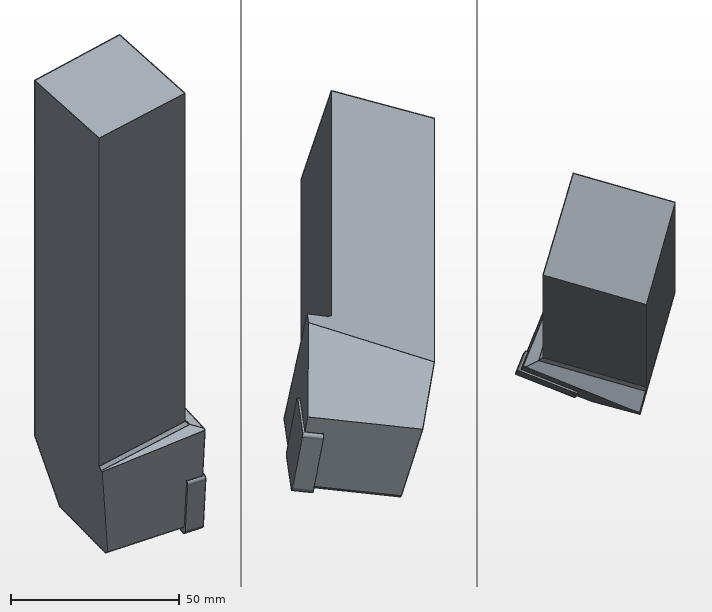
import cadquery as cq
import math

TOTAL_HEIGHT = 171.4
SHANK_SIZE = 32.0
HEAD_DEPTH = 39.4
LEFT_SIDE_LEAN = 0.5

SHELF_ROOT_Z = 37.7
SHELF_BEVEL_WIDTH = 1.0
SHELF_BEVEL_DROP = 1.0
SHELF_SLOPE_X = math.tan(math.radians(13))
SHELF_SLOPE_Y = math.tan(math.radians(15))

TILT_SLOPE = math.tan(math.radians(6))
EDGE_SLOPE = math.tan(math.radians(5))
CORNER_X = 36.3
CORNER_Z = 4.6
BOTTOM_LENGTH = 23.5
RELIEF_WIDTH = 24.0
RELIEF_SLOPE = 1.6
CORNER_CHAMFER = 1.2
RAKE_HEIGHT = 32.2

INSERT_EDGE = 19.4
INSERT_THICKNESS = 6.3
INSERT_NOSE_RADIUS = 1.2
INSERT_PROUD = 0.7
NOSE_OVERHANG_X = 0.9
NOSE_OVERHANG_Z = 1.4

CLEAR = 102.8

TILTED_PLANE = cq.Plane(
    origin=(CORNER_X, 0, CORNER_Z),
    xDir=(1, -TILT_SLOPE, 0),
    normal=(TILT_SLOPE, 1, -TILT_SLOPE),
)


def leaning_block(depth, width, bottom, top):
    """Block with a leaning left side, running from y = 0 to depth."""
    left_at_depth = LEFT_SIDE_LEAN * (1 - depth / HEAD_DEPTH)
    outline = [(LEFT_SIDE_LEAN, 0), (width, 0), (width, depth), (left_at_depth, depth)]
    return cq.Workplane("XY").workplane(offset=bottom).polyline(outline).close().extrude(top - bottom)


def below_shelf(plane, slope):
    """Region below the bevelled, sloping shelf, with the profile drawn across the given plane."""
    bevel_end = SHANK_SIZE + SHELF_BEVEL_WIDTH
    bevel_z = SHELF_ROOT_Z - SHELF_BEVEL_DROP
    profile = [
        (-CLEAR, -CLEAR),
        (CLEAR, -CLEAR),
        (CLEAR, bevel_z - slope * (CLEAR - bevel_end)),
        (bevel_end, bevel_z),
        (SHANK_SIZE, SHELF_ROOT_Z),
        (-CLEAR, SHELF_ROOT_Z),
    ]
    return cq.Workplane(plane).polyline(profile).close().extrude(CLEAR, both=True)


def tilted_prism():
    """Head sides, square to the rake face and cut off at it."""
    bottom_end = (-BOTTOM_LENGTH, -BOTTOM_LENGTH * EDGE_SLOPE)
    relief_end = (bottom_end[0] - RELIEF_WIDTH, bottom_end[1] - RELIEF_WIDTH * RELIEF_SLOPE)
    outline = [
        (-CORNER_CHAMFER, -CORNER_CHAMFER * EDGE_SLOPE),
        bottom_end,
        relief_end,
        (relief_end[0], -CLEAR),
        (-CLEAR * EDGE_SLOPE, -CLEAR),
        (-CORNER_CHAMFER * EDGE_SLOPE, -CORNER_CHAMFER),
    ]
    start = cq.Workplane(TILTED_PLANE).workplane(offset=RAKE_HEIGHT)
    return start.polyline(outline).close().extrude(-CLEAR)


def make_insert():
    """Rhombic plate with rounded acute corners, reaching past both cutting sides of the head."""
    along = INSERT_EDGE / math.hypot(1, EDGE_SLOPE)
    across = along * EDGE_SLOPE
    outline = [(0, 0), (-along, -across), (-along - across, -along - across), (-across, -along)]
    return (
        cq.Workplane(TILTED_PLANE)
        .workplane(offset=RAKE_HEIGHT + INSERT_PROUD)
        .center(NOSE_OVERHANG_X, NOSE_OVERHANG_Z)
        .polyline(outline)
        .close()
        .extrude(-INSERT_THICKNESS)
        .edges(cq.selectors.ParallelDirSelector(TILTED_PLANE.zDir))
        .fillet(INSERT_NOSE_RADIUS)
    )


def make_holder(insert):
    """Shank and head in one piece, with a seat for the insert."""
    head = (
        leaning_block(HEAD_DEPTH, CLEAR, -CLEAR, CLEAR)
        .intersect(tilted_prism())
        .intersect(below_shelf("XZ", SHELF_SLOPE_X))
        .intersect(below_shelf("YZ", SHELF_SLOPE_Y))
    )
    shank = leaning_block(SHANK_SIZE, SHANK_SIZE, SHELF_ROOT_Z - SHELF_BEVEL_DROP, TOTAL_HEIGHT)
    return head.union(shank).cut(insert)


insert = make_insert()
holder = make_holder(insert)

result = cq.Compound.makeCompound([holder.val(), insert.val()])